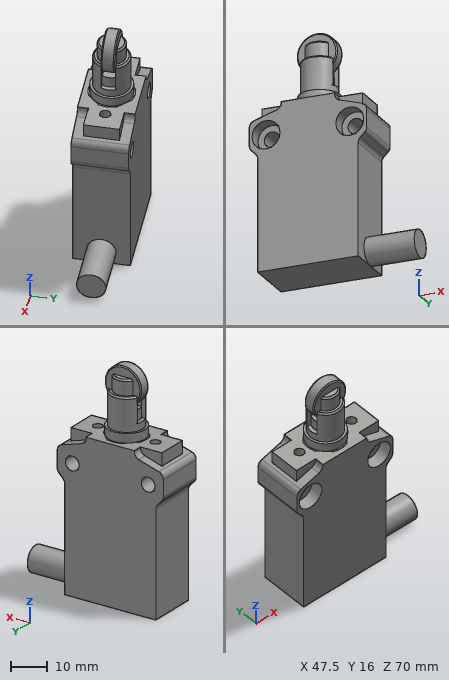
import cadquery as cq
import math

HOUSING_WIDTH = 30.0
HOUSING_DEPTH = 16.0
HOUSING_HEIGHT = 49.0
EAR_SPAN = 35.0
EAR_TOP = 44.25
EAR_BOTTOM = 36.6
EAR_SLOPE = 17.0
HEAD_WIDTH = 15.95
TONGUE_DEPTH = 10.0
CORNER_RADIUS = 2.0

MOUNT_SPACING = 25.0
MOUNT_HEIGHT = 40.0
MOUNT_DIAMETER = 4.5
COUNTERBORE_DIAMETER = 8.25
COUNTERBORE_DEPTH = 4.0
SCREW_SPACING = 19.0
SCREW_DIAMETER = 3.0
SCREW_DEPTH = 4.0

CABLE_DIAMETER = 8.2
CABLE_LENGTH = 15.0

FLANGE_DIAMETER = 13.0
FLANGE_THICKNESS = 2.8
COLLAR_DIAMETER = 12.05
COLLAR_HEIGHT = 2.8
SLEEVE_DIAMETER = 10.5
SLEEVE_TOP = 62.2
SLEEVE_SLOT_FLOOR = 54.1
SLOT_WIDTH = 4.0

PLUNGER_DIAMETER = 8.0
PLUNGER_TOP = 67.0
PLUNGER_SLOT_FLOOR = 57.5
RIM_CHAMFER = 0.5

ROLLER_DIAMETER = 12.0
ROLLER_WIDTH = 3.8
ROLLER_TOP = 70.0
ROLLER_CHAMFER = 0.35

flange_bottom = HOUSING_HEIGHT - FLANGE_THICKNESS


def cylinder_up(diameter, bottom, top):
    """Cylinder on the Z axis between two heights."""
    return cq.Workplane("XY").workplane(offset=bottom).circle(diameter / 2).extrude(top - bottom)


def block_up(width, depth, bottom, top):
    """Block centred on the Z axis between two heights."""
    return cq.Workplane("XY").workplane(offset=bottom).rect(width, depth).extrude(top - bottom)


def roller_slot(floor):
    """Slot along X, open at the top, in which the roller turns."""
    return block_up(2 * SLEEVE_DIAMETER, SLOT_WIDTH, floor, ROLLER_TOP)


def make_flange():
    """Round flange with four diagonal flats that touch the collar."""
    disc = cylinder_up(FLANGE_DIAMETER, flange_bottom, HOUSING_HEIGHT)
    flats = block_up(COLLAR_DIAMETER, COLLAR_DIAMETER, flange_bottom, HOUSING_HEIGHT)
    return disc.intersect(flats.rotate((0, 0, 0), (0, 0, 1), 45))


def make_housing():
    """Eared block with a tongue, mounting holes, screw holes and the flange recess."""
    half_body = HOUSING_WIDTH / 2
    half_ear = EAR_SPAN / 2
    half_head = HEAD_WIDTH / 2
    notch_z = EAR_TOP + (half_ear - half_head) * math.tan(math.radians(EAR_SLOPE))
    neck_z = EAR_BOTTOM - (half_ear - half_body)

    right_side = [
        (half_body, 0),
        (half_body, neck_z),
        (half_ear, EAR_BOTTOM),
        (half_ear, EAR_TOP),
        (half_head, notch_z),
        (half_head, HOUSING_HEIGHT),
    ]
    left_side = [(-x, z) for x, z in reversed(right_side)]
    body = (
        cq.Workplane("XZ", origin=(0, -HOUSING_DEPTH / 2, 0))
        .polyline(right_side + left_side)
        .close()
        .extrude(-HOUSING_DEPTH)
    )

    rounded = cq.selectors.BoxSelector(
        (-EAR_SPAN, -HOUSING_DEPTH, neck_z - CORNER_RADIUS),
        (EAR_SPAN, HOUSING_DEPTH, notch_z + CORNER_RADIUS / 2),
    )
    body = body.edges("|Y").edges(rounded).fillet(CORNER_RADIUS)

    body = body.union(block_up(HOUSING_WIDTH, TONGUE_DEPTH, EAR_BOTTOM, HOUSING_HEIGHT))

    mount_points = [(side * MOUNT_SPACING / 2, MOUNT_HEIGHT) for side in (-1, 1)]
    body = body.cut(
        cq.Workplane("XZ", origin=(0, -HOUSING_DEPTH / 2, 0))
        .pushPoints(mount_points)
        .circle(COUNTERBORE_DIAMETER / 2)
        .extrude(-COUNTERBORE_DEPTH)
    )
    body = body.cut(
        cq.Workplane("XZ", origin=(0, -HOUSING_DEPTH / 2, 0))
        .pushPoints(mount_points)
        .circle(MOUNT_DIAMETER / 2)
        .extrude(-HOUSING_DEPTH)
    )

    screw_points = [(side * SCREW_SPACING / 2, 0) for side in (-1, 1)]
    body = body.cut(
        cq.Workplane("XY", origin=(0, 0, HOUSING_HEIGHT))
        .pushPoints(screw_points)
        .circle(SCREW_DIAMETER / 2)
        .extrude(-SCREW_DEPTH)
    )

    return body.cut(make_flange())


def make_cable():
    """Cable stub, level with the housing bottom, that starts on the +X face."""
    return (
        cq.Workplane("YZ", origin=(HOUSING_WIDTH / 2, 0, CABLE_DIAMETER / 2))
        .circle(CABLE_DIAMETER / 2)
        .extrude(CABLE_LENGTH)
    )


def make_bushing():
    """Flange, collar and slotted sleeve, bored for the plunger."""
    collar_top = HOUSING_HEIGHT + COLLAR_HEIGHT
    sleeve = cylinder_up(SLEEVE_DIAMETER, collar_top, SLEEVE_TOP).faces(">Z").edges().chamfer(RIM_CHAMFER)
    return (
        make_flange()
        .union(cylinder_up(COLLAR_DIAMETER, HOUSING_HEIGHT, collar_top))
        .union(sleeve)
        .cut(cylinder_up(PLUNGER_DIAMETER, flange_bottom, SLEEVE_TOP))
        .cut(roller_slot(SLEEVE_SLOT_FLOOR))
    )


def make_plunger():
    """Round plunger that fills the bushing bore, forked at the top for the roller."""
    rod = cylinder_up(PLUNGER_DIAMETER, flange_bottom, PLUNGER_TOP).faces(">Z").edges().chamfer(RIM_CHAMFER)
    return rod.cut(roller_slot(PLUNGER_SLOT_FLOOR))


def make_roller():
    """Roller across Y, centred in the slot, with chamfered rims."""
    return (
        cq.Workplane("XZ", origin=(0, -ROLLER_WIDTH / 2, ROLLER_TOP - ROLLER_DIAMETER / 2))
        .circle(ROLLER_DIAMETER / 2)
        .extrude(-ROLLER_WIDTH)
        .faces("<Y or >Y")
        .edges()
        .chamfer(ROLLER_CHAMFER)
    )


housing = make_housing()
cable = make_cable()
bushing = make_bushing()
plunger = make_plunger()
roller = make_roller()

result = cq.Compound.makeCompound(
    [housing.val(), cable.val(), bushing.val(), plunger.val(), roller.val()]
)